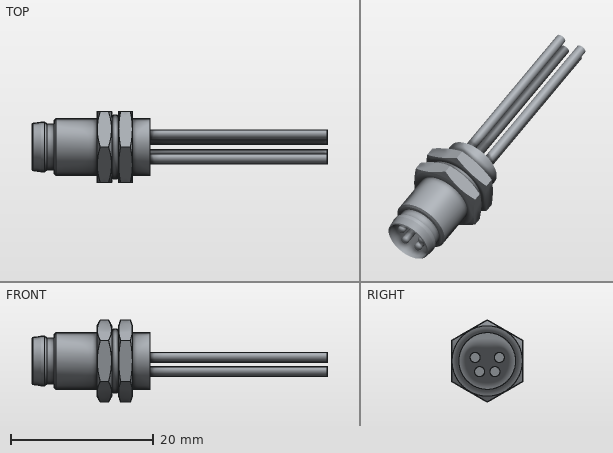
import cadquery as cq
import math

total_length = 41.5

nose_radius = 3.3
bead_radius = 3.5
groove_radius = 3.25
nose_chamfer = 0.12
bead_start = 1.3
bead_end = 1.8
groove_start = 2.08

barrel_start = 3.1
barrel_end = 16.6
barrel_radius = 4.0
barrel_chamfer = 0.25

mouth_radius = 3.2
floor_radius = 2.85
socket_depth = 4.15

hex_across_flats = 10.0
hex_corner_radius = hex_across_flats / math.sqrt(3)
front_nut_start = 9.15
front_nut_end = 11.2
front_nut_chamfer = 0.45
rear_nut_start = 12.15
rear_nut_end = 14.1
rear_nut_chamfer = 0.3
nut_face_radius = 4.95

seal_radius = 4.52

upper_spacing = 3.4
upper_height = 0.5
lower_spacing = 2.15
lower_height = -1.5
contact_centers = [
    (side * spacing / 2, height)
    for spacing, height in ((upper_spacing, upper_height), (lower_spacing, lower_height))
    for side in (-1, 1)
]
pin_radius = 0.55
pin_tip = 0.5
wire_radius = 0.7


def revolve_about_x(profile):
    """Turn a closed XY profile around the connector axis."""
    return profile.close().revolve(360, (0, 0, 0), (1, 0, 0))


def cylinder(start, end, radius, center=(0, 0)):
    """Cylinder parallel to X, centered at the given (Y, Z)."""
    return cq.Workplane("YZ", origin=(start, *center)).circle(radius).extrude(end - start)


def make_shell():
    outline = (
        cq.Workplane("XY")
        .lineTo(0, nose_radius - nose_chamfer)
        .lineTo(nose_chamfer, nose_radius)
        .lineTo(bead_start, bead_radius)
        .lineTo(bead_end, bead_radius)
        .lineTo(groove_start, groove_radius)
        .lineTo(barrel_start, groove_radius)
        .lineTo(barrel_start, barrel_radius - barrel_chamfer)
        .lineTo(barrel_start + barrel_chamfer, barrel_radius)
        .lineTo(barrel_end, barrel_radius)
        .lineTo(barrel_end, 0)
    )
    socket = (
        cq.Workplane("XY")
        .lineTo(0, mouth_radius)
        .lineTo(socket_depth, floor_radius)
        .lineTo(socket_depth, 0)
    )
    return revolve_about_x(outline).cut(revolve_about_x(socket))


def make_nut(start, end, chamfer):
    """Hexagon whose corners are trimmed by a cone at each face."""
    prism = (
        cq.Workplane("YZ", origin=(start, 0, 0))
        .polygon(6, 2 * hex_corner_radius)
        .extrude(end - start)
        .rotate((0, 0, 0), (1, 0, 0), 90)
    )
    trim = (
        cq.Workplane("XY")
        .moveTo(start, 0)
        .lineTo(start, nut_face_radius)
        .lineTo(start + chamfer, hex_corner_radius)
        .lineTo(end - chamfer, hex_corner_radius)
        .lineTo(end, nut_face_radius)
        .lineTo(end, 0)
    )
    return prism.intersect(revolve_about_x(trim))


def make_seal():
    """Ring with a half-round rim that fills the gap between the nuts."""
    round_radius = (rear_nut_start - front_nut_end) / 2
    rim_radius = seal_radius - round_radius
    profile = (
        cq.Workplane("XY")
        .moveTo(front_nut_end, 0)
        .lineTo(front_nut_end, rim_radius)
        .threePointArc((front_nut_end + round_radius, seal_radius), (rear_nut_start, rim_radius))
        .lineTo(rear_nut_start, 0)
    )
    return revolve_about_x(profile)


def make_pin(center):
    pin = cylinder(pin_tip + pin_radius, socket_depth, pin_radius, center)
    dome = cq.Workplane("XY", origin=(pin_tip + pin_radius, *center)).sphere(pin_radius)
    return pin.union(dome)


result = (
    make_shell()
    .union(make_nut(front_nut_start, front_nut_end, front_nut_chamfer))
    .union(make_seal())
    .union(make_nut(rear_nut_start, rear_nut_end, rear_nut_chamfer))
)
for contact_center in contact_centers:
    result = result.union(make_pin(contact_center))
    result = result.union(cylinder(barrel_end, total_length, wire_radius, contact_center))